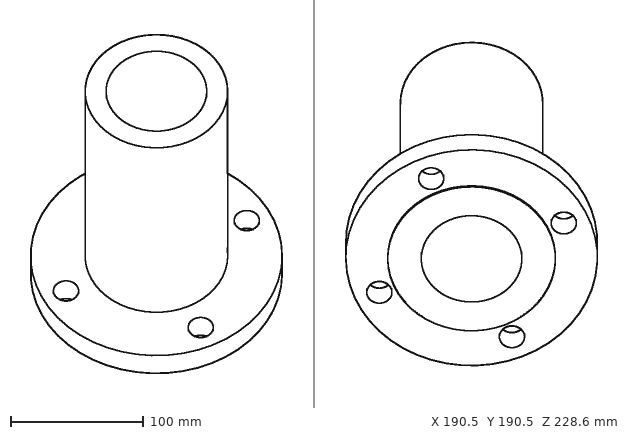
import cadquery as cq

total_height = 228.6
flange_diameter = 190.5
flange_thickness = 23.9
raised_face_diameter = 127.0
raised_face_height = 1.6
neck_diameter = 108.0
bore_diameter = 76.2

bolt_circle_diameter = 152.4
bolt_hole_diameter = 19.05
bolt_hole_count = 4


def cylinder(diameter, bottom, top):
    """Solid cylinder on the Z axis between two heights."""
    return cq.Workplane("XY").workplane(offset=bottom).circle(diameter / 2).extrude(top - bottom)


def make_body():
    """Raised face, flange disc and neck joined into one solid."""
    raised_face = cylinder(raised_face_diameter, 0, raised_face_height)
    flange = cylinder(flange_diameter, raised_face_height, flange_thickness)
    neck = cylinder(neck_diameter, flange_thickness, total_height)
    return raised_face.union(flange).union(neck)


def make_bolt_holes():
    """Cutters for the evenly spaced bolt holes, the first one on the +X axis."""
    return (
        cq.Workplane("XY")
        .polarArray(bolt_circle_diameter / 2, 0, 360, bolt_hole_count)
        .circle(bolt_hole_diameter / 2)
        .extrude(flange_thickness)
    )


bore = cylinder(bore_diameter, 0, total_height)
result = make_body().cut(bore).cut(make_bolt_holes())